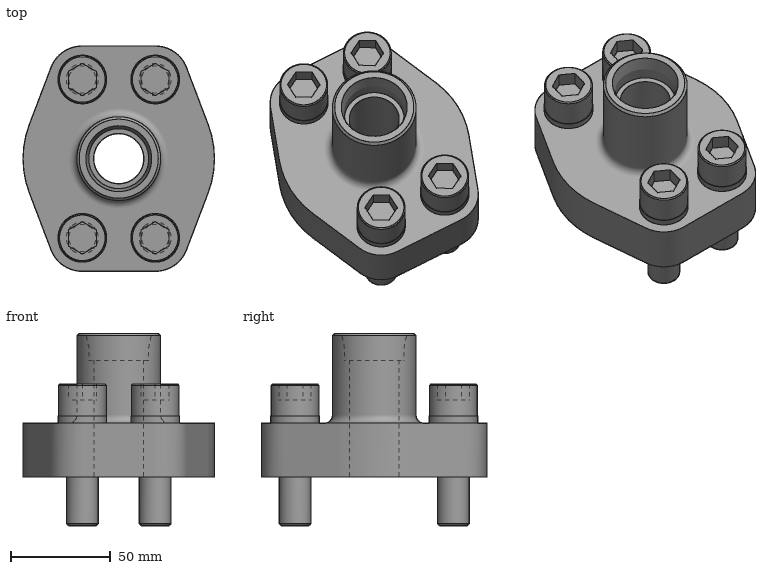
import cadquery as cq
import math

PLATE_HEIGHT = 27.0
PLATE_LENGTH = 113.0
SIDE_RADIUS = 48.0

BOLT_SPACING_X = 36.5
BOLT_SPACING_Y = 79.3
BOLT_X = BOLT_SPACING_X / 2
BOLT_Y = BOLT_SPACING_Y / 2
CORNER_RADIUS = PLATE_LENGTH / 2 - BOLT_Y

TUBE_RADIUS = 42.0 / 2
TUBE_HEIGHT = 45.0
TUBE_TOP = PLATE_HEIGHT + TUBE_HEIGHT
TUBE_CHAMFER = 1.2
ROOT_FILLET = 4.0

MOUTH_RADIUS = 33.0 / 2
SEAT_RADIUS = 30.0 / 2
BORE_RADIUS = 25.0 / 2
CONE_HALF_ANGLE = math.radians(12.0)
CONE_DEPTH = (MOUTH_RADIUS - SEAT_RADIUS) / math.tan(CONE_HALF_ANGLE)
SEAT_DEPTH = 13.5

BOLT_RADIUS = 16.0 / 2
BOLT_LENGTH = 55.0
TIP_CHAMFER = 1.2
HEAD_RADIUS = 24.0 / 2
HEAD_HEIGHT = 16.0
HEAD_CHAMFER = 0.6
WASHER_RADIUS = 24.4 / 2
WASHER_HEIGHT = 3.5
HEX_ACROSS_FLATS = 14.0
HEX_DEPTH = 8.0


def make_plate():
    """Plate whose side arcs and corner arcs are joined by common tangent lines."""
    centre_distance = math.hypot(BOLT_X, BOLT_Y)
    centre_angle = math.atan2(BOLT_Y, BOLT_X)
    tangent_angle = centre_angle - math.acos((SIDE_RADIUS - CORNER_RADIUS) / centre_distance)
    corner_mid_angle = (tangent_angle + math.pi / 2) / 2

    def corner_point(angle):
        return BOLT_X + CORNER_RADIUS * math.cos(angle), BOLT_Y + CORNER_RADIUS * math.sin(angle)

    side_x = SIDE_RADIUS * math.cos(tangent_angle)
    side_y = SIDE_RADIUS * math.sin(tangent_angle)
    end_x, end_y = corner_point(math.pi / 2)
    mid_x, mid_y = corner_point(corner_mid_angle)
    start_x, start_y = corner_point(tangent_angle)

    return (
        cq.Workplane("XY")
        .moveTo(side_x, -side_y)
        .threePointArc((SIDE_RADIUS, 0), (side_x, side_y))
        .lineTo(start_x, start_y)
        .threePointArc((mid_x, mid_y), (end_x, end_y))
        .lineTo(-end_x, end_y)
        .threePointArc((-mid_x, mid_y), (-start_x, start_y))
        .lineTo(-side_x, side_y)
        .threePointArc((-SIDE_RADIUS, 0), (-side_x, -side_y))
        .lineTo(-start_x, -start_y)
        .threePointArc((-mid_x, -mid_y), (-end_x, -end_y))
        .lineTo(end_x, -end_y)
        .threePointArc((mid_x, -mid_y), (start_x, -start_y))
        .close()
        .extrude(PLATE_HEIGHT)
    )


def make_tube():
    """Solid tube with a chamfered top and a concave fillet at its root."""
    root_radius = TUBE_RADIUS + ROOT_FILLET
    fillet_inset = ROOT_FILLET * (1 - math.sqrt(0.5))
    return (
        cq.Workplane("XZ")
        .moveTo(0, 0)
        .lineTo(root_radius, 0)
        .lineTo(root_radius, PLATE_HEIGHT)
        .threePointArc(
            (TUBE_RADIUS + fillet_inset, PLATE_HEIGHT + fillet_inset),
            (TUBE_RADIUS, PLATE_HEIGHT + ROOT_FILLET),
        )
        .lineTo(TUBE_RADIUS, TUBE_TOP - TUBE_CHAMFER)
        .lineTo(TUBE_RADIUS - TUBE_CHAMFER, TUBE_TOP)
        .lineTo(0, TUBE_TOP)
        .close()
        .revolve(360, (0, 0, 0), (0, 1, 0))
    )


def make_bore():
    """Cutter for the conical mouth, the stepped seat and the through bore."""
    seat_z = TUBE_TOP - SEAT_DEPTH
    return (
        cq.Workplane("XZ")
        .moveTo(0, 0)
        .lineTo(BORE_RADIUS, 0)
        .lineTo(BORE_RADIUS, seat_z)
        .lineTo(SEAT_RADIUS, seat_z)
        .lineTo(SEAT_RADIUS, TUBE_TOP - CONE_DEPTH)
        .lineTo(MOUTH_RADIUS, TUBE_TOP)
        .lineTo(0, TUBE_TOP)
        .close()
        .revolve(360, (0, 0, 0), (0, 1, 0))
    )


def make_bolt():
    """Bolt on the Z axis with its washer resting on the plate."""
    head_z = PLATE_HEIGHT + WASHER_HEIGHT
    head_top = head_z + HEAD_HEIGHT
    hex_across_corners = HEX_ACROSS_FLATS / math.cos(math.pi / 6)
    washer = cq.Workplane("XY", origin=(0, 0, PLATE_HEIGHT)).circle(WASHER_RADIUS).extrude(WASHER_HEIGHT)
    shank = (
        cq.Workplane("XY", origin=(0, 0, head_z))
        .circle(BOLT_RADIUS)
        .extrude(-BOLT_LENGTH)
        .faces("<Z")
        .chamfer(TIP_CHAMFER)
    )
    head = (
        cq.Workplane("XY", origin=(0, 0, head_z))
        .circle(HEAD_RADIUS)
        .extrude(HEAD_HEIGHT)
        .faces(">Z")
        .chamfer(HEAD_CHAMFER)
    )
    hex_socket = (
        cq.Workplane("XY", origin=(0, 0, head_top))
        .transformed(rotate=(0, 0, 90))
        .polygon(6, hex_across_corners)
        .extrude(-HEX_DEPTH)
    )
    return washer.union(shank).union(head).cut(hex_socket)


result = make_plate().union(make_tube()).cut(make_bore())
bolt = make_bolt()
for x in (-BOLT_X, BOLT_X):
    for y in (-BOLT_Y, BOLT_Y):
        result = result.union(bolt.translate((x, y, 0)))